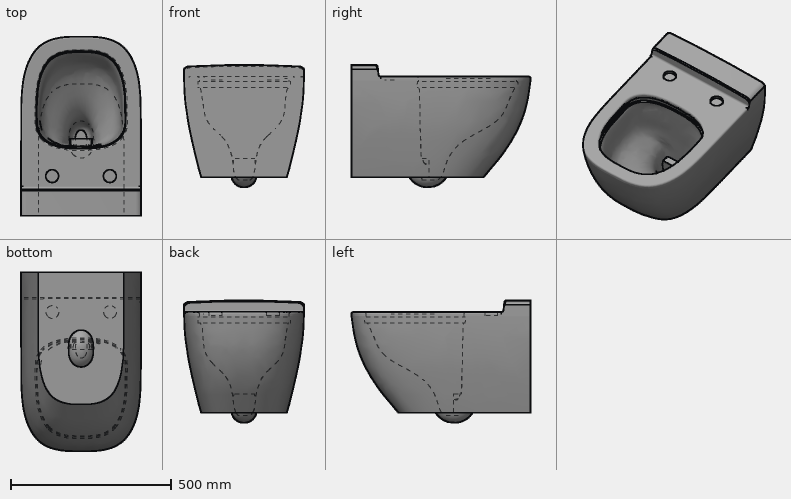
import cadquery as cq
import math


width = 375.0
length = 560.0
skirt_height = 302.0
rim_height = 315.0
ledge_height = 351.5
overall_height = 383.42
rim_edge_radius = 6.0

skirt_sections = [
    (0.0, 134.0, 170.0, 413.0, 3.2),
    (60.0, 150.0, 210.0, 463.0, 3.0),
    (120.0, 164.0, 238.0, 504.0, 2.9),
    (180.0, 176.0, 255.0, 533.0, 2.9),
    (240.0, 184.2, 270.0, 550.5, 3.0),
    (skirt_height, width / 2, 280.0, length, 3.2),
]

ledge_depth = 82.0
ledge_front_slope = 3.0
ledge_foot_radius = 7.0
ledge_edge_chamfer = 4.0
crown_half_width = 170.0
crown_edge_height = 347.0
ledge_shoulder_height = 338.0
shoulder_bulge = 3.5

opening_half_width = 140.0
opening_back = 209.0
opening_middle = 297.0
opening_front = 515.0
front_roundness = 3.1
back_roundness = 2.5

groove_depth = 4.0
groove_floor = 282.0
groove_roof = 300.0

bowl_sections = [
    (groove_floor, 138.0, 211.0, 300.0, 511.0, front_roundness, back_roundness),
    (225.0, 128.0, 213.0, 303.0, 486.0, 2.6, 2.7),
    (167.0, 109.0, 214.0, 305.0, 440.0, 2.2, 3.0),
    (108.0, 54.0, 216.0, 250.0, 341.0, 2.0, 6.0),
    (58.0, 37.0, 218.0, 245.0, 301.0, 2.0, 6.0),
    (-8.0, 18.0, 220.0, 240.0, 268.0, 2.0, 6.0),
]
sill_half_width = 32.0
sill_flank = 10.0
sill_front = 241.0
sill_height = 60.0

fixing_diameter = 40.0
fixing_spacing = 180.0
fixing_y = 124.0
fixing_depth = 10.0

trap_y = 239.0
trap_pipe_radius = 40.0
trap_outer_radius = 68.0

POINTS_PER_QUADRANT = 5


def superellipse_point(turn, half_width, reach, roundness):
    """Point on a superellipse centred at the origin; turn is an angle within one quadrant."""
    across = math.cos(turn)
    along = math.sin(turn)
    scale = (across**roundness + along**roundness) ** (-1 / roundness)
    return half_width * across * scale, reach * along * scale


def rounded_end(half_width, middle, reach, roundness):
    """Points from +X to -X round an end at Y = middle + reach (reach may be negative)."""
    step = math.pi / 2 / POINTS_PER_QUADRANT
    quadrant = [
        superellipse_point(index * step, half_width, reach, roundness)
        for index in range(POINTS_PER_QUADRANT)
    ]
    quadrant.append((0.0, reach))
    right = [(x, middle + y) for x, y in quadrant]
    left = [(-x, y) for x, y in reversed(right[:-1])]
    return right + left


def skirt_wire(z, half_width, nose_start, nose, roundness):
    """Straight back closed by one curve for the flat sides and the rounded nose."""
    end = rounded_end(half_width, nose_start, nose - nose_start, roundness)
    side = [(half_width, nose_start / 3), (half_width, nose_start * 2 / 3)]
    other_side = [(-x, y) for x, y in reversed(side)]
    return (
        cq.Workplane("XY", origin=(0, 0, z))
        .moveTo(-half_width, 0)
        .lineTo(half_width, 0)
        .spline(
            side + end + other_side + [(-half_width, 0)],
            tangents=[(0, 1), (0, -1)],
            includeCurrent=True,
        )
        .close()
        .val()
    )


def oval(z, half_width, back, middle, front, front_power, back_power):
    """Closed oval of two superellipse halves that meet at Y = middle."""
    front_end = rounded_end(half_width, middle, front - middle, front_power)
    back_end = rounded_end(half_width, middle, back - middle, back_power)
    around = front_end + back_end[-2:0:-1]
    return cq.Workplane("XY", origin=(0, 0, z)).spline(around, periodic=True).close()


def opening_outline(z, growth):
    """Outline of the rim opening, enlarged all round by the growth."""
    return oval(
        z,
        opening_half_width + growth,
        opening_back - growth,
        opening_middle,
        opening_front + growth,
        front_roundness,
        back_roundness,
    )


def make_skirt():
    return cq.Workplane(cq.Solid.makeLoft([skirt_wire(*section) for section in skirt_sections]))


def make_rim():
    """Flat plate on top of the skirt, rounded along its outer edge."""
    outline = skirt_wire(*skirt_sections[-1])
    plate = cq.Solid.extrudeLinear(outline, [], cq.Vector(0, 0, rim_height - skirt_height))
    return cq.Workplane(plate).faces(">Z").edges("not <Y").fillet(rim_edge_radius)


def cut_opening(pan):
    """Cut the rim opening down into the groove and round its upper edge."""
    groove_middle = (groove_floor + groove_roof) / 2
    pan = pan.cut(opening_outline(groove_middle, 0).extrude(rim_height - groove_middle))
    rim_face = pan.faces(">Z").val()
    return cq.Workplane(pan.val().fillet(rim_edge_radius, rim_face.innerWires()[0].Edges()))


def make_ledge():
    """Crowned ledge with rounded shoulders, sloping front and a rounded foot."""
    half = width / 2
    shoulder_x = (half + crown_half_width) / 2 + shoulder_bulge / 2
    shoulder_z = (ledge_shoulder_height + crown_edge_height) / 2 + shoulder_bulge / 2
    foot_y = ledge_depth + ledge_front_slope
    foot_end = foot_y + ledge_foot_radius
    section = (
        cq.Workplane("XZ")
        .moveTo(-half, skirt_height)
        .lineTo(half, skirt_height)
        .lineTo(half, ledge_shoulder_height)
        .threePointArc((shoulder_x, shoulder_z), (crown_half_width, crown_edge_height))
        .threePointArc((0, ledge_height), (-crown_half_width, crown_edge_height))
        .threePointArc((-shoulder_x, shoulder_z), (-half, ledge_shoulder_height))
        .close()
        .extrude(-foot_end)
    )
    side = (
        cq.Workplane("YZ")
        .moveTo(0, skirt_height)
        .lineTo(foot_end, skirt_height)
        .lineTo(foot_end, rim_height)
        .radiusArc((foot_y, rim_height + ledge_foot_radius), ledge_foot_radius)
        .lineTo(ledge_depth, ledge_height)
        .lineTo(0, ledge_height)
        .close()
        .extrude(half, both=True)
    )
    top_front = cq.selectors.BoxSelector(
        (-half, ledge_depth - ledge_front_slope, ledge_shoulder_height),
        (half, foot_y, ledge_height + 1),
    )
    return section.intersect(side).edges(top_front).chamfer(ledge_edge_chamfer)


def make_trap():
    """Underside of a bent pipe: its round section turned about a horizontal axis."""
    axis_z = trap_outer_radius - (overall_height - ledge_height)
    pipe_offset = trap_outer_radius - trap_pipe_radius
    axis_reach = math.sqrt(trap_pipe_radius**2 - pipe_offset**2)
    return (
        cq.Workplane("XY", origin=(0, trap_y, axis_z))
        .moveTo(-axis_reach, 0)
        .threePointArc((0, trap_outer_radius), (axis_reach, 0))
        .close()
        .revolve(360, (0, 0, 0), (1, 0, 0))
    )


def make_bowl():
    """Bowl narrowing to the drain, with a flat-topped sill standing at its back."""
    bowl = cq.Workplane(cq.Solid.makeLoft([oval(*section).val() for section in bowl_sections]))
    base_half_width = sill_half_width + sill_flank
    sill = (
        cq.Workplane("XZ")
        .moveTo(-base_half_width, 0)
        .lineTo(base_half_width, 0)
        .lineTo(sill_half_width, sill_height)
        .lineTo(-sill_half_width, sill_height)
        .close()
        .extrude(-sill_front)
    )
    return bowl.cut(sill)


def make_groove():
    return opening_outline(groove_floor, groove_depth).extrude(groove_roof - groove_floor)


def make_fixing_holes():
    return (
        cq.Workplane("XY", origin=(0, fixing_y, rim_height - fixing_depth))
        .pushPoints([(-fixing_spacing / 2, 0), (fixing_spacing / 2, 0)])
        .circle(fixing_diameter / 2)
        .extrude(2 * fixing_depth)
    )


pan = make_skirt().union(make_rim())
pan = cut_opening(pan.cut(make_groove()))
result = pan.union(make_ledge()).union(make_trap()).cut(make_bowl()).cut(make_fixing_holes())